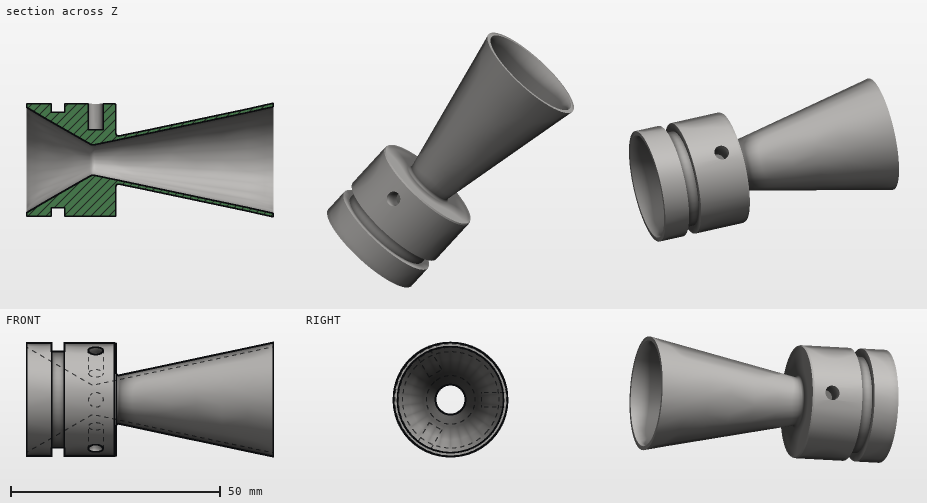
import cadquery as cq
import math

total_length = 58.78

body_radius = 13.5
body_length = 21.3
body_chamfer_length = 0.4
body_chamfer_height = 0.15
groove_start = 5.95
groove_end = 9.0
groove_radius = 11.5

inlet_radius = 12.5
throat_radius = 3.55
throat_round = 1.2
convergent_angle = math.radians(30)
divergent_angle = math.radians(12)

exit_radius = 13.62
neck_fillet = 0.6

pin_hole_count = 3
pin_hole_diameter = 3.5
pin_hole_x = 16.45
pin_hole_depth = 6.2

throat_arc_radius = throat_radius + throat_round
throat_start_radius = throat_arc_radius - throat_round * math.cos(convergent_angle)
throat_start_x = (inlet_radius - throat_start_radius) / math.tan(convergent_angle)
throat_x = throat_start_x + throat_round * math.sin(convergent_angle)
throat_end_x = throat_x + throat_round * math.sin(divergent_angle)
throat_end_radius = throat_arc_radius - throat_round * math.cos(divergent_angle)
passage_exit_radius = throat_end_radius + (total_length - throat_end_x) * math.tan(divergent_angle)

neck_x = body_length + neck_fillet
neck_end_x = neck_x + neck_fillet * math.sin(divergent_angle)
neck_end_radius = exit_radius - (total_length - neck_end_x) * math.tan(divergent_angle)
neck_arc_radius = neck_end_radius + neck_fillet * math.cos(divergent_angle)


def turn(profile):
    """Revolve a half profile that starts and ends on the X axis about that axis."""
    return profile.close().revolve(360, (0, 0, 0), (1, 0, 0))


def make_outside():
    """Grooved mounting cylinder and flaring horn, as a solid without the passage."""
    profile = (
        cq.Workplane("XZ")
        .lineTo(0, body_radius)
        .lineTo(groove_start, body_radius)
        .lineTo(groove_start, groove_radius)
        .lineTo(groove_end, groove_radius)
        .lineTo(groove_end, body_radius)
        .lineTo(body_length - body_chamfer_length, body_radius)
        .lineTo(body_length, body_radius - body_chamfer_height)
        .lineTo(body_length, neck_arc_radius)
        .threePointArc((neck_x, neck_arc_radius - neck_fillet), (neck_end_x, neck_end_radius))
        .lineTo(total_length, exit_radius)
        .lineTo(total_length, 0)
    )
    return turn(profile)


def make_passage():
    """Flow passage that narrows to the rounded throat and widens to the exit."""
    profile = (
        cq.Workplane("XZ")
        .lineTo(0, inlet_radius)
        .lineTo(throat_start_x, throat_start_radius)
        .threePointArc((throat_x, throat_radius), (throat_end_x, throat_end_radius))
        .lineTo(total_length, passage_exit_radius)
        .lineTo(total_length, 0)
    )
    return turn(profile)


def make_pin_hole(angle):
    """Blind radial hole cutter, turned by the angle about X from the +Y direction."""
    return (
        cq.Workplane("XZ", origin=(pin_hole_x, body_radius, 0))
        .circle(pin_hole_diameter / 2)
        .extrude(pin_hole_depth)
        .rotate((0, 0, 0), (1, 0, 0), angle)
    )


result = make_outside().cut(make_passage())
for index in range(pin_hole_count):
    result = result.cut(make_pin_hole(index * 360 / pin_hole_count))